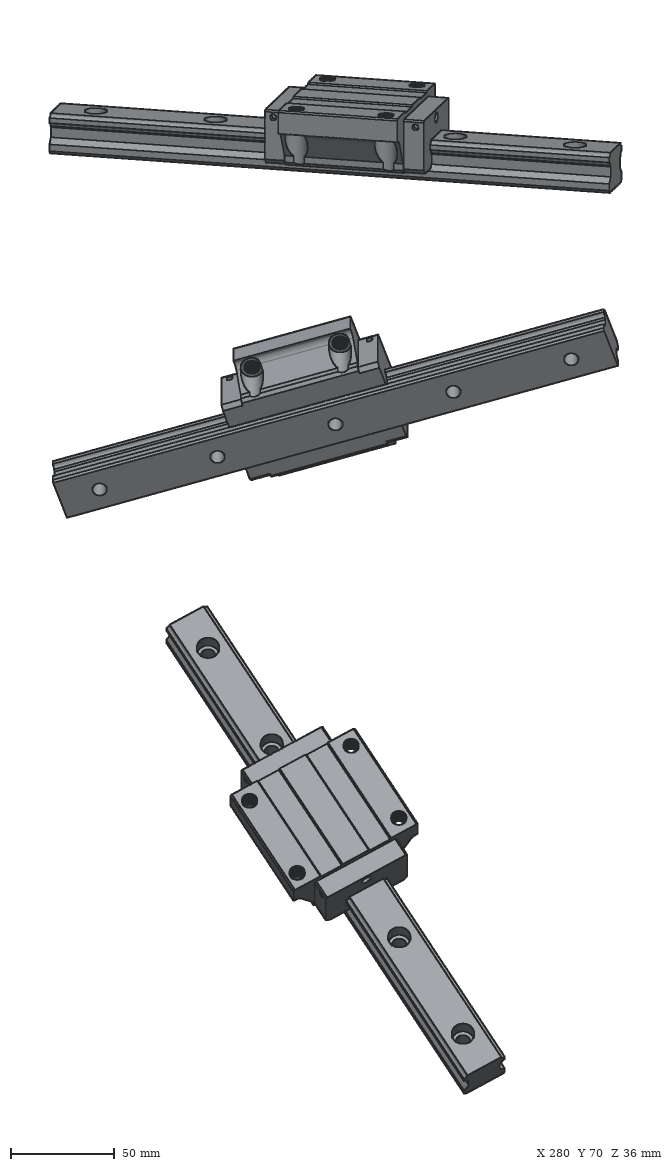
import cadquery as cq

rail_length = 280.0
rail_height = 20.0
rail_half_width = 11.5
rail_waist_half_width = 8.7
ball_groove_radius = 2.0
rail_foot_bevel_width = 0.8
rail_foot_bevel_height = 1.5
rail_head_bottom = 15.5
rail_waist_top = 12.5
rail_waist_bottom = 7.5
rail_foot_top = 4.8

bolt_count = 5
bolt_pitch = 60.0
bolt_diameter = 7.0
bolt_head_diameter = 11.0
bolt_head_depth = 9.0

carriage_offset = 10.5
block_length = 59.5
cap_length = 10.0
carriage_top = 36.0
carriage_bottom = 6.0
block_bottom_chamfer = 1.7
cap_bottom_chamfer = 2.2

block_half_width = 35.0
block_top_chamfer = 0.8
flange_bottom = 24.5
flange_root_half_width = 32.0
flange_root_fillet = 4.0
skirt_half_width = 23.8
skirt_top = 11.0

relief_depth = 0.8
relief_wall_run = 0.5
relief_inner = 7.3
relief_outer = 20.0

mount_pitch_x = 44.8
mount_pitch_y = 57.0
mount_thread_minor = 6.7
mount_thread_major = 7.5
mount_thread_turns = 9
mount_spotface_diameter = 11.0

cap_half_width = 23.0
cap_top = 32.8
cap_top_chamfer = 0.8

end_port_diameter = 5.0
end_port_z = 28.5
end_port_depth = 5.0
side_port_diameter = 3.0
side_port_z = 29.5
side_port_inset = 4.2
side_port_depth = 3.0


def mirrored_prism(half_outline, length, x_center):
    """Extrude a (y, z) half outline, mirrored about Y = 0, along X."""
    other_half = [(-y, z) for y, z in reversed(half_outline)]
    return (
        cq.Workplane("YZ", origin=(x_center - length / 2, 0, 0))
        .polyline(half_outline + other_half)
        .close()
        .extrude(length)
    )


def rail_bar():
    """The plain rail without its bolt holes."""
    upper_groove_z = rail_height
    lower_groove_z = rail_head_bottom - ball_groove_radius
    neck_half_width = rail_half_width - ball_groove_radius
    half_outline = [
        (rail_half_width - rail_foot_bevel_width, 0),
        (rail_half_width, rail_foot_bevel_height),
        (rail_half_width, rail_foot_top),
        (rail_waist_half_width, rail_waist_bottom),
        (rail_waist_half_width, rail_waist_top),
        (neck_half_width, lower_groove_z),
        (rail_half_width, lower_groove_z),
        (rail_half_width, upper_groove_z),
    ]
    bar = mirrored_prism(half_outline, rail_length, 0)
    groove_centers = [
        (y, z)
        for y in (-rail_half_width, rail_half_width)
        for z in (lower_groove_z, upper_groove_z)
    ]
    ball_grooves = (
        cq.Workplane("YZ", origin=(-rail_length / 2, 0, 0))
        .pushPoints(groove_centers)
        .circle(ball_groove_radius)
        .extrude(rail_length)
    )
    return bar.cut(ball_grooves)


def make_rail():
    return (
        rail_bar()
        .faces(">Z")
        .workplane(origin=(0, 0, rail_height))
        .rarray(bolt_pitch, 2.8, bolt_count, 1)
        .cboreHole(bolt_diameter, bolt_head_diameter, bolt_head_depth)
    )


def flanged_block():
    """The middle block with its relief channels and filleted flange roots."""
    half_outline = [
        (skirt_half_width - block_bottom_chamfer, carriage_bottom),
        (skirt_half_width, carriage_bottom + block_bottom_chamfer),
        (skirt_half_width, skirt_top),
        (flange_root_half_width, flange_bottom),
        (block_half_width, flange_bottom),
        (block_half_width, carriage_top - block_top_chamfer),
        (block_half_width - block_top_chamfer, carriage_top),
        (relief_outer, carriage_top),
        (relief_outer - relief_wall_run, carriage_top - relief_depth),
        (relief_inner + relief_wall_run, carriage_top - relief_depth),
        (relief_inner, carriage_top),
    ]
    block = mirrored_prism(half_outline, block_length, carriage_offset)
    for root_y in (-flange_root_half_width, flange_root_half_width):
        root_point = (carriage_offset, root_y, flange_bottom)
        root_edge = cq.selectors.NearestToPointSelector(root_point)
        block = block.edges(root_edge).fillet(flange_root_fillet)
    return block


def mount_hole_cut():
    """One threaded flange hole about the Z axis, above the spotface cut from below.

    The thread is a stack of plain V-shaped rings.
    """
    minor_radius = mount_thread_minor / 2
    major_radius = mount_thread_major / 2
    pitch = (carriage_top - flange_bottom) / mount_thread_turns
    profile = [(0, flange_bottom), (major_radius, flange_bottom)]
    for turn in range(mount_thread_turns):
        turn_bottom = flange_bottom + turn * pitch
        profile.append((minor_radius, turn_bottom + pitch / 2))
        profile.append((major_radius, turn_bottom + pitch))
    profile.append((0, carriage_top))

    threaded_hole = (
        cq.Workplane("XZ")
        .polyline(profile)
        .close()
        .revolve(360, (0, 0, 0), (0, 1, 0))
    )
    spotface = cq.Workplane("XY").circle(mount_spotface_diameter / 2).extrude(flange_bottom)
    return threaded_hole.union(spotface)


def end_cap(side):
    """End cap on the -X (side = -1) or +X (side = 1) end of the block, with its ports."""
    half_outline = [
        (cap_half_width - cap_bottom_chamfer, carriage_bottom),
        (cap_half_width, carriage_bottom + cap_bottom_chamfer),
        (cap_half_width, cap_top - cap_top_chamfer),
        (cap_half_width - cap_top_chamfer, cap_top),
    ]
    cap_center = carriage_offset + side * (block_length + cap_length) / 2
    outer_face = cap_center + side * cap_length / 2
    cap = mirrored_prism(half_outline, cap_length, cap_center)

    end_port = (
        cq.Workplane("YZ", origin=(outer_face, 0, end_port_z))
        .circle(end_port_diameter / 2)
        .extrude(-side * end_port_depth)
    )
    cap = cap.cut(end_port)

    side_port_x = outer_face - side * side_port_inset
    for y_side in (-1, 1):
        side_port = (
            cq.Workplane("XZ", origin=(side_port_x, y_side * cap_half_width, side_port_z))
            .circle(side_port_diameter / 2)
            .extrude(y_side * side_port_depth)
        )
        cap = cap.cut(side_port)
    return cap


def make_carriage():
    body = flanged_block()
    for x_side in (-1, 1):
        for y_side in (-1, 1):
            x = carriage_offset + x_side * mount_pitch_x / 2
            y = y_side * mount_pitch_y / 2
            body = body.cut(mount_hole_cut().translate((x, y, 0)))
    for side in (-1, 1):
        body = body.union(end_cap(side))
    return body.cut(rail_bar())


rail = make_rail()
carriage = make_carriage()
result = cq.Compound.makeCompound([rail.val(), *carriage.vals()])